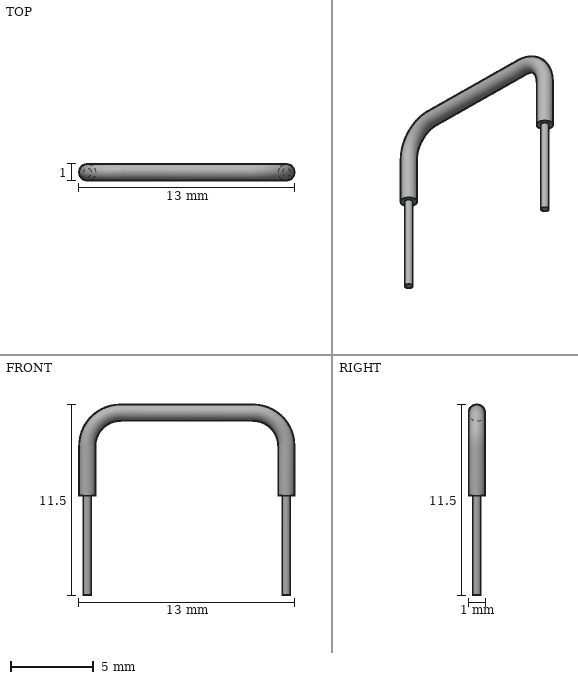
import cadquery as cq
import math

overall_width = 13.0
sleeve_diameter = 1.0
pin_diameter = 0.5
bend_radius = 2.0
sleeve_leg_length = 3.0
pin_length = 5.99

leg_x = (overall_width - sleeve_diameter) / 2
bridge_end_x = leg_x - bend_radius
bridge_z = sleeve_leg_length + bend_radius
bend_mid_offset = bend_radius * math.sqrt(0.5)
bend_mid_x = bridge_end_x + bend_mid_offset
bend_mid_z = sleeve_leg_length + bend_mid_offset


def make_sleeve():
    """Round sleeve swept up one leg, across the bridge and down the other."""
    centreline = (
        cq.Workplane("XZ")
        .moveTo(-leg_x, 0)
        .lineTo(-leg_x, sleeve_leg_length)
        .threePointArc((-bend_mid_x, bend_mid_z), (-bridge_end_x, bridge_z))
        .lineTo(bridge_end_x, bridge_z)
        .threePointArc((bend_mid_x, bend_mid_z), (leg_x, sleeve_leg_length))
        .lineTo(leg_x, 0)
    )
    return cq.Workplane("XY").center(-leg_x, 0).circle(sleeve_diameter / 2).sweep(centreline)


def make_pin(x):
    """Bare pin hanging from the lower end of a sleeve leg."""
    return cq.Workplane("XY").center(x, 0).circle(pin_diameter / 2).extrude(-pin_length)


result = make_sleeve()
for pin_x in (-leg_x, leg_x):
    result = result.union(make_pin(pin_x))